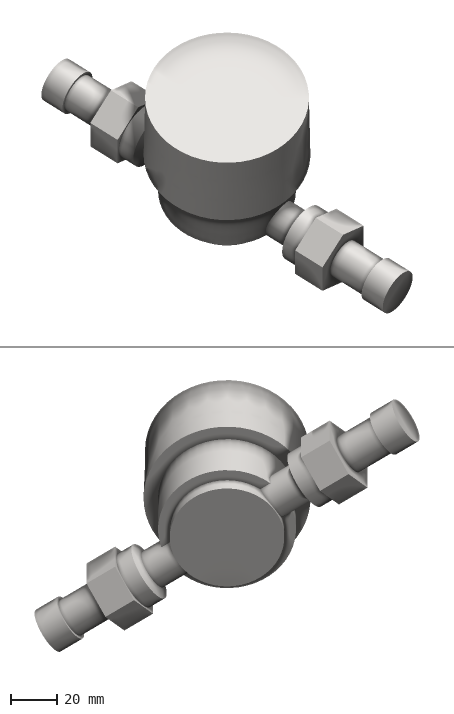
import cadquery as cq

OVERALL_LENGTH = 188.0

CAP_TOP_Z = 63.0
CAP_BOTTOM_Z = 23.0
CAP_TOP_RADIUS = 35.5
CAP_BOTTOM_RADIUS = 72.4 / 2

DRUM_RADIUS = 29.9
DRUM_BOTTOM_Z = -3.0
BASE_RADIUS = 24.8
BASE_BOTTOM_Z = -10.0

PIPE_RADIUS = 9.0
PLUG_RADIUS = 10.5
PLUG_LENGTH = 11.7
PIPE_LENGTH = OVERALL_LENGTH - 2 * PLUG_LENGTH

NUT_ACROSS_FLATS = 29.0
NUT_LENGTH = 15.0
NUT_INNER_X = 48.9
COLLAR_RADIUS = 13.5
COLLAR_LENGTH = 9.8
COLLAR_CHAMFER_LENGTH = 1.9
COLLAR_NOSE_RADIUS = PIPE_RADIUS


def rod_along_x(start_x, length, radius):
    """Solid cylinder on the pipe axis, running toward +X from start_x."""
    return cq.Workplane("YZ", origin=(start_x, 0, 0)).circle(radius).extrude(length)


def make_cap():
    """Solid cone frustum resting on the housing."""
    return (
        cq.Workplane("XZ")
        .moveTo(0, CAP_BOTTOM_Z)
        .lineTo(CAP_BOTTOM_RADIUS, CAP_BOTTOM_Z)
        .lineTo(CAP_TOP_RADIUS, CAP_TOP_Z)
        .lineTo(0, CAP_TOP_Z)
        .close()
        .revolve(360, (0, 0), (0, 1))
    )


def make_housing():
    """Stepped drum with a through hole for the pipe."""
    base = (
        cq.Workplane("XY", origin=(0, 0, BASE_BOTTOM_Z))
        .circle(BASE_RADIUS)
        .extrude(DRUM_BOTTOM_Z - BASE_BOTTOM_Z)
    )
    drum = (
        cq.Workplane("XY", origin=(0, 0, DRUM_BOTTOM_Z))
        .circle(DRUM_RADIUS)
        .extrude(CAP_BOTTOM_Z - DRUM_BOTTOM_Z)
    )
    return drum.union(base).cut(make_pipe())


def make_pipe():
    """Straight pipe, modelled solid, running through the housing."""
    return rod_along_x(-PIPE_LENGTH / 2, PIPE_LENGTH, PIPE_RADIUS)


def make_plug():
    """Round plug against the +X end of the pipe."""
    return rod_along_x(PIPE_LENGTH / 2, PLUG_LENGTH, PLUG_RADIUS)


def make_nut():
    """Hexagonal nut on the +X arm, with corners at top and bottom."""
    return (
        cq.Workplane("YZ", origin=(NUT_INNER_X, 0, 0))
        .polygon(6, NUT_ACROSS_FLATS, circumscribed=True)
        .extrude(NUT_LENGTH)
        .cut(make_pipe())
    )


def make_collar():
    """Ring on the +X arm, tapering down toward the housing."""
    nose_x = NUT_INNER_X - COLLAR_LENGTH
    return (
        cq.Workplane("XY")
        .moveTo(nose_x, 0)
        .lineTo(nose_x, COLLAR_NOSE_RADIUS)
        .lineTo(nose_x + COLLAR_CHAMFER_LENGTH, COLLAR_RADIUS)
        .lineTo(NUT_INNER_X, COLLAR_RADIUS)
        .lineTo(NUT_INNER_X, 0)
        .close()
        .revolve(360, (0, 0), (1, 0))
        .cut(make_pipe())
    )


arm_bodies = []
for make_body in (make_collar, make_nut, make_plug):
    right_body = make_body()
    arm_bodies.append(right_body.val())
    arm_bodies.append(right_body.mirror("YZ").val())

cap = make_cap()
housing = make_housing()
pipe = make_pipe()

result = cq.Compound.makeCompound([cap.val(), housing.val(), pipe.val(), *arm_bodies])